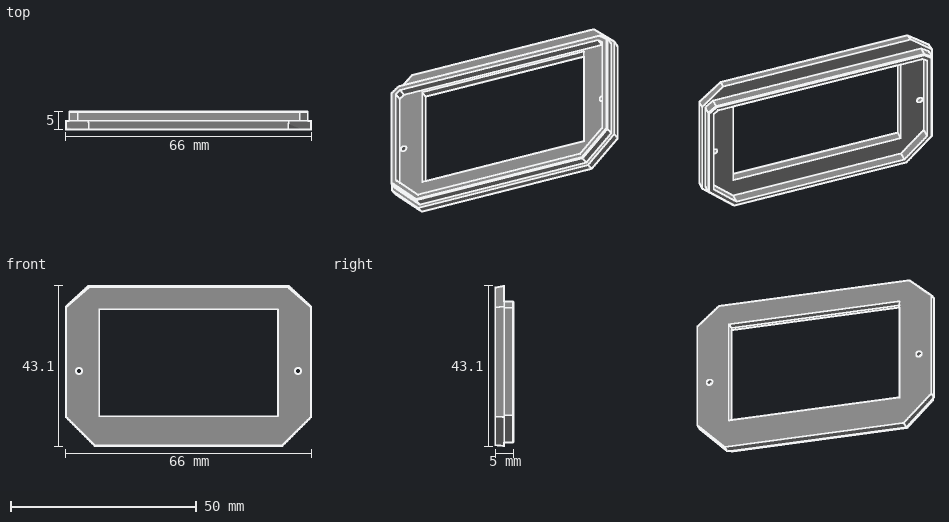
import cadquery as cq


width = 65.96
flange_depth = 2.4
back_top = 21.55
back_bottom = -21.55
top_lean = 0.45
bottom_lean = 0.2
side_top = 15.98
side_top_lean = 0.25
side_bottom = -13.75
side_bottom_lean = 0.1
top_corner_run = 6.05
top_corner_run_lean = 0.15
bottom_corner_run = 7.8

opening_width = 48.0
opening_top = 15.2
opening_bottom = -13.5

total_depth = 5.0
rim_width = 64.2
rim_top = 17.35
rim_bottom = -20.6
rim_top_corner_run = 2.25
rim_top_corner_drop = 1.75
rim_bottom_corner = 7.4
rim_wall = 1.5
rim_edge_chamfer = 0.25

hole_diameter = 1.6
hole_spacing = 58.9
hole_height = -1.35


def xz_plane(y):
    """Workplane at depth y whose local axes are X and Z, extruding toward the front."""
    return cq.Workplane("XZ", origin=(0, y, 0))


def cut_corner_outline(y, half_width, top, bottom, side_upper, side_lower, top_run, bottom_run):
    """Symmetric eight-sided outline at depth y."""
    right_side = [
        (half_width - bottom_run, bottom),
        (half_width, side_lower),
        (half_width, side_upper),
        (half_width - top_run, top),
    ]
    left_side = [(-x, z) for x, z in reversed(right_side)]
    return xz_plane(y).polyline(right_side + left_side).close()


def make_flange():
    half_width = width / 2
    front = cut_corner_outline(
        0,
        half_width,
        back_top - top_lean,
        back_bottom + bottom_lean,
        side_top - side_top_lean,
        side_bottom + side_bottom_lean,
        top_corner_run + top_corner_run_lean,
        bottom_corner_run,
    )
    back = cut_corner_outline(
        flange_depth,
        half_width,
        back_top,
        back_bottom,
        side_top,
        side_bottom,
        top_corner_run,
        bottom_corner_run,
    )
    wires = [front.wire().val(), back.wire().val()]
    return cq.Workplane(cq.Solid.makeLoft(wires, True))


def make_rim():
    outline = cut_corner_outline(
        total_depth,
        rim_width / 2,
        rim_top,
        rim_bottom,
        rim_top - rim_top_corner_drop,
        rim_bottom + rim_bottom_corner,
        rim_top_corner_run,
        rim_bottom_corner,
    )
    rim_depth = total_depth - flange_depth
    block = outline.extrude(rim_depth)
    rim_outline = block.faces(">Y").wires().toPending()
    cavity = rim_outline.offset2D(-rim_wall, "intersection").extrude(rim_depth, combine=False)
    return block.faces(">Y").edges().chamfer(rim_edge_chamfer).cut(cavity)


def make_opening():
    middle = (opening_top + opening_bottom) / 2
    height = opening_top - opening_bottom
    return xz_plane(0).center(0, middle).rect(opening_width, height).extrude(-flange_depth)


def make_holes():
    centres = [(side * hole_spacing / 2, hole_height) for side in (-1, 1)]
    return xz_plane(0).pushPoints(centres).circle(hole_diameter / 2).extrude(-flange_depth)


result = make_flange().union(make_rim()).cut(make_opening()).cut(make_holes())